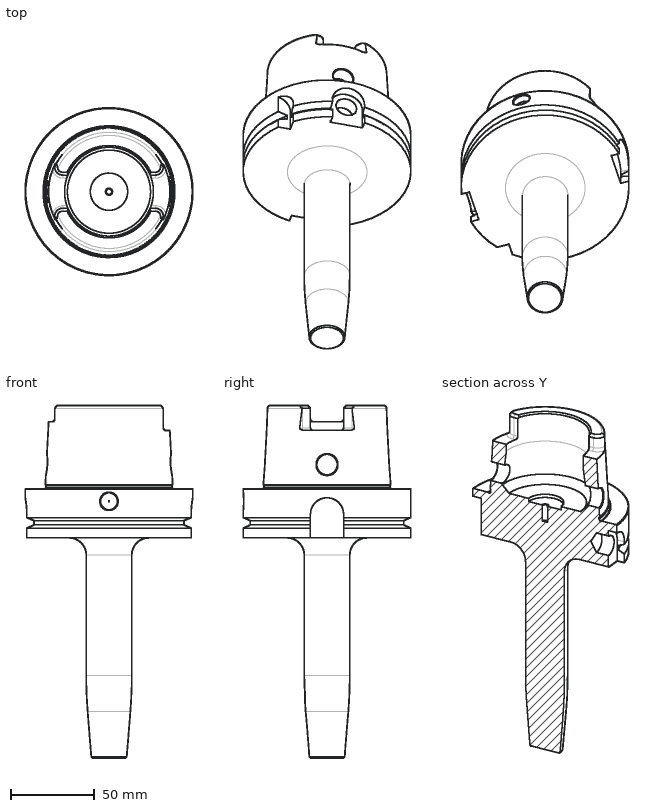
import cadquery as cq
import math


TAPER_HEIGHT = 49.5
TOTAL_HEIGHT = 210.0
TIP_Z = TAPER_HEIGHT - TOTAL_HEIGHT

TAPER_TOP_RADIUS = 35.5
TAPER_BASE_RADIUS = 38.0
TAPER_BASE_Z = 2.3
RELIEF_RADIUS = 37.5
RELIEF_STEP = 0.5
RELIEF_FLARE_Z = 0.8
RELIEF_DEPTH = 0.6
RELIEF_FLOOR_RADIUS = 38.5
RELIEF_OUTER_RADIUS = 39.3
RIM_ROUND = 1.9

FLANGE_RADIUS = 50.0
FLANGE_HEIGHT = 29.4
FLANGE_EDGE = 0.5
GROOVE_RADIUS = 45.8
GROOVE_TOP_Z = -17.2
GROOVE_BOTTOM_Z = -23.5
GROOVE_FLAT = 2.5

SHAFT_RADIUS = 13.6
SHAFT_FILLET = 10.0
BEND_TOP_Z = -111.2
BEND_BOTTOM_Z = -132.7
NOSE_ANGLE = math.radians(4.5)
TIP_CHAMFER = 0.8

BORE_RADIUS = 26.5
BORE_CHAMFER = 1.0
SHOULDER_Z = 30.6
UNDERCUT_RADIUS = 29.4
FLOOR_Z = 2.7
FLOOR_RADIUS = 24.8
FLOOR_BEVEL = UNDERCUT_RADIUS - FLOOR_RADIUS
RECESS_RADIUS = 11.1
RECESS_DEPTH = 2.0
CENTRE_HOLE_RADIUS = 1.7
CENTRE_HOLE_CHAMFER = 0.5
CENTRE_HOLE_DEPTH = 10.5

DRIVE_HALF_WIDTH = 9.9
DRIVE_FLAT_X = 32.3
DRIVE_CORNER_RADIUS = 4.8
DRIVE_FLOOR_FILLET = 1.7
DRIVE_TOP_CHAMFER = 1.7
SHALLOW_DRIVE_Z = 39.9
DEEP_DRIVE_Z = 34.6

KEYWAY_RADIUS = 9.9
KEYWAY_CENTRE_Z = -15.3
KEYWAY_FLOOR_X = 44.0
NOTCH_FLOOR_X = 31.7
NOTCH_WALL_Y = 31.3

CROSS_HOLE_RADIUS = 6.0
CROSS_HOLE_CHAMFER = 0.5
CROSS_HOLE_Z = 14.3
KEYWAY_HOLE_RADIUS = 6.3
KEYWAY_HOLE_DEPTH = 8.5
DRILL_HALF_ANGLE = math.radians(59)
CHIP_HOLE_RADIUS = 5.0
CHIP_HOLE_CHAMFER = 0.5
CHIP_HOLE_DEPTH = 4.5
CHIP_HOLE_Z = -7.5
CHIP_PILOT_RADIUS = 0.2
CHIP_PILOT_DEPTH = 1.0

CLEARANCE = 21.0
SEARCH_MARGIN = 0.6
MOUTH_DEPTH = 2.0


def revolve_z(profile):
    """Turn a closed radius-height profile around the Z axis."""
    return profile.close().revolve(360, (0, 0, 0), (0, 1, 0))


def turned_body():
    bend_radius = (BEND_TOP_Z - BEND_BOTTOM_Z) / math.sin(NOSE_ANGLE)
    bend_centre = SHAFT_RADIUS - bend_radius

    def bend_point(angle):
        return (bend_centre + bend_radius * math.cos(angle), BEND_TOP_Z - bend_radius * math.sin(angle))

    bend_end = bend_point(NOSE_ANGLE)
    nose_radius = bend_end[0] - (BEND_BOTTOM_Z - TIP_Z) * math.tan(NOSE_ANGLE)

    groove_slope = (GROOVE_TOP_Z - GROOVE_BOTTOM_Z - GROOVE_FLAT) / 2
    fillet_middle = SHAFT_FILLET * (1 - math.sqrt(0.5))

    profile = (
        cq.Workplane("XZ")
        .moveTo(0, TAPER_HEIGHT)
        .lineTo(TAPER_TOP_RADIUS, TAPER_HEIGHT)
        .lineTo(TAPER_BASE_RADIUS, TAPER_BASE_Z)
        .lineTo(RELIEF_RADIUS, TAPER_BASE_Z - RELIEF_STEP)
        .lineTo(RELIEF_RADIUS, RELIEF_FLARE_Z)
        .lineTo(RELIEF_FLOOR_RADIUS, -RELIEF_DEPTH)
        .lineTo(RELIEF_OUTER_RADIUS, 0)
        .lineTo(FLANGE_RADIUS - FLANGE_EDGE, 0)
        .lineTo(FLANGE_RADIUS, -FLANGE_EDGE)
        .lineTo(FLANGE_RADIUS, GROOVE_TOP_Z)
        .lineTo(GROOVE_RADIUS, GROOVE_TOP_Z - groove_slope)
        .lineTo(GROOVE_RADIUS, GROOVE_BOTTOM_Z + groove_slope)
        .lineTo(FLANGE_RADIUS, GROOVE_BOTTOM_Z)
        .lineTo(FLANGE_RADIUS, -FLANGE_HEIGHT)
        .lineTo(SHAFT_RADIUS + SHAFT_FILLET, -FLANGE_HEIGHT)
        .threePointArc(
            (SHAFT_RADIUS + fillet_middle, -FLANGE_HEIGHT - fillet_middle),
            (SHAFT_RADIUS, -FLANGE_HEIGHT - SHAFT_FILLET),
        )
        .lineTo(SHAFT_RADIUS, BEND_TOP_Z)
        .threePointArc(bend_point(NOSE_ANGLE / 2), bend_end)
        .lineTo(nose_radius, TIP_Z + TIP_CHAMFER)
        .lineTo(nose_radius - TIP_CHAMFER, TIP_Z)
        .lineTo(0, TIP_Z)
    )
    return revolve_z(profile).faces(">Z").edges().fillet(RIM_ROUND)


def drive_slot(side, floor_z):
    """Slot through the rim on one X side; it flares outside the flat at DRIVE_FLAT_X."""
    height = TAPER_HEIGHT - DRIVE_TOP_CHAMFER - floor_z
    outer_x = TAPER_BASE_RADIUS + CLEARANCE
    slot = (
        cq.Workplane("XY", origin=(0, 0, floor_z))
        .moveTo(0, -DRIVE_HALF_WIDTH)
        .lineTo(side * DRIVE_FLAT_X, -DRIVE_HALF_WIDTH)
        .lineTo(side * DRIVE_FLAT_X, -TAPER_BASE_RADIUS)
        .lineTo(side * outer_x, -TAPER_BASE_RADIUS)
        .lineTo(side * outer_x, TAPER_BASE_RADIUS)
        .lineTo(side * DRIVE_FLAT_X, TAPER_BASE_RADIUS)
        .lineTo(side * DRIVE_FLAT_X, DRIVE_HALF_WIDTH)
        .lineTo(0, DRIVE_HALF_WIDTH)
        .close()
        .extrude(height)
    )
    corners = cq.selectors.BoxSelector(
        (side * DRIVE_FLAT_X - SEARCH_MARGIN, -DRIVE_HALF_WIDTH - SEARCH_MARGIN, floor_z),
        (side * DRIVE_FLAT_X + SEARCH_MARGIN, DRIVE_HALF_WIDTH + SEARCH_MARGIN, floor_z + height),
    )
    slot = slot.edges("|Z").edges(corners).fillet(DRIVE_CORNER_RADIUS)
    slot = slot.faces("<Z").edges().fillet(DRIVE_FLOOR_FILLET)
    return slot.faces(">Z").wires().toPending().extrude(2 * DRIVE_TOP_CHAMFER, taper=-45)


def clamping_bore():
    recess_z = FLOOR_Z - RECESS_DEPTH
    hole_z = recess_z - CENTRE_HOLE_DEPTH
    profile = (
        cq.Workplane("XZ")
        .moveTo(0, TAPER_HEIGHT)
        .lineTo(BORE_RADIUS + BORE_CHAMFER, TAPER_HEIGHT)
        .lineTo(BORE_RADIUS, TAPER_HEIGHT - BORE_CHAMFER)
        .lineTo(BORE_RADIUS, SHOULDER_Z)
        .lineTo(UNDERCUT_RADIUS, FLOOR_Z + FLOOR_BEVEL)
        .lineTo(FLOOR_RADIUS, FLOOR_Z)
        .lineTo(RECESS_RADIUS, FLOOR_Z)
        .lineTo(RECESS_RADIUS, recess_z)
        .lineTo(CENTRE_HOLE_RADIUS + CENTRE_HOLE_CHAMFER, recess_z)
        .lineTo(CENTRE_HOLE_RADIUS, recess_z - CENTRE_HOLE_CHAMFER)
        .lineTo(CENTRE_HOLE_RADIUS, hole_z)
        .lineTo(0, hole_z)
    )
    return revolve_z(profile)


def round_topped_slot(floor_x, centre_y, side):
    """Slot rounded at the top and open below, cut inwards along X to a flat floor."""
    depth = FLANGE_RADIUS + CLEARANCE - floor_x
    plane = cq.Workplane("YZ", origin=(side * floor_x, centre_y, KEYWAY_CENTRE_Z))
    bottom = -FLANGE_HEIGHT - KEYWAY_CENTRE_Z
    return (
        plane.moveTo(-KEYWAY_RADIUS, bottom)
        .lineTo(-KEYWAY_RADIUS, 0)
        .threePointArc((0, KEYWAY_RADIUS), (KEYWAY_RADIUS, 0))
        .lineTo(KEYWAY_RADIUS, bottom)
        .close()
        .extrude(side * depth)
    )


def keyway_hole():
    """Drilled hole with a conical end, in the floor of the -X keyway."""
    outer_x = -KEYWAY_FLOOR_X
    inner_x = outer_x + KEYWAY_HOLE_DEPTH
    point_x = inner_x + KEYWAY_HOLE_RADIUS / math.tan(DRILL_HALF_ANGLE)
    return (
        cq.Workplane("XZ", origin=(0, 0, KEYWAY_CENTRE_Z))
        .moveTo(outer_x, 0)
        .lineTo(outer_x, KEYWAY_HOLE_RADIUS)
        .lineTo(inner_x, KEYWAY_HOLE_RADIUS)
        .lineTo(point_x, 0)
        .close()
        .revolve(360, (0, 0, 0), (1, 0, 0))
    )


def cross_hole():
    length = 2 * FLANGE_RADIUS
    return (
        cq.Workplane("YZ", origin=(-FLANGE_RADIUS, 0, CROSS_HOLE_Z))
        .circle(CROSS_HOLE_RADIUS)
        .extrude(length)
    )


def chip_hole():
    floor_y = -FLANGE_RADIUS + CHIP_HOLE_DEPTH
    plane = cq.Workplane("XZ", origin=(0, floor_y, CHIP_HOLE_Z))
    hole = plane.circle(CHIP_HOLE_RADIUS).extrude(CHIP_HOLE_DEPTH + CLEARANCE)
    pilot = plane.circle(CHIP_PILOT_RADIUS).extrude(-CHIP_PILOT_DEPTH)
    return hole.union(pilot)


def chamfer_hole_mouth(body, mouth, radius, size):
    """Chamfer the outer edge of a radial hole whose mouth is centred on the given point."""
    mouth_x, mouth_y, mouth_z = mouth
    reach = radius + SEARCH_MARGIN
    reach_x = MOUTH_DEPTH if mouth_x else reach
    reach_y = MOUTH_DEPTH if mouth_y else reach
    mouth_edges = cq.selectors.BoxSelector(
        (mouth_x - reach_x, mouth_y - reach_y, mouth_z - reach),
        (mouth_x + reach_x, mouth_y + reach_y, mouth_z + reach),
        boundingbox=True,
    )
    return body.edges(mouth_edges).chamfer(size)


body = turned_body()
body = body.cut(drive_slot(-1, SHALLOW_DRIVE_Z)).cut(drive_slot(1, DEEP_DRIVE_Z))
body = body.cut(clamping_bore())
for side in (-1, 1):
    body = body.cut(round_topped_slot(KEYWAY_FLOOR_X, 0, side))
body = body.cut(round_topped_slot(NOTCH_FLOOR_X, NOTCH_WALL_Y + KEYWAY_RADIUS, -1))
body = body.cut(keyway_hole()).cut(cross_hole()).cut(chip_hole())
for side in (-1, 1):
    cross_mouth = (side * TAPER_BASE_RADIUS, 0, CROSS_HOLE_Z)
    body = chamfer_hole_mouth(body, cross_mouth, CROSS_HOLE_RADIUS, CROSS_HOLE_CHAMFER)
chip_mouth = (0, -FLANGE_RADIUS, CHIP_HOLE_Z)
body = chamfer_hole_mouth(body, chip_mouth, CHIP_HOLE_RADIUS, CHIP_HOLE_CHAMFER)

result = body